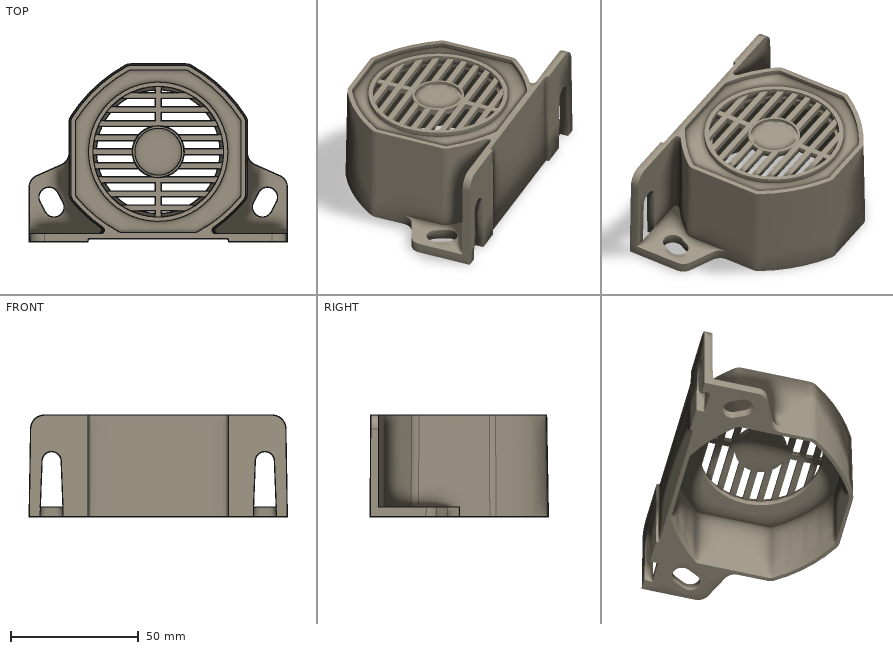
import cadquery as cq
import math

height = 40.0
total_width = 101.3
total_depth = 69.97
draft_angle = 1.0
draft_shift = height * math.tan(math.radians(draft_angle))

body_half_width = 35.0
body_rear_y = 34.5
body_front_y = -34.1
side_rear_y = 12.8
side_front_y = -18.1
rear_half_flat = 11.9
front_half_flat = 15.7
wall_arc_radius = 60.0
body_corner_radius = 4.5
wall = 1.5
rim_width = 1.8
rim_depth = 2.0
roof_bottom = 34.0

plate_front_y = body_rear_y - total_depth
plate_thickness = 3.35
plate_back_y = plate_front_y + plate_thickness
plate_top_half_width = 50.0
plate_corner_radius = 5.5
plate_fillet = 1.35
valley_x = 18.5
label_half_width = 27.5
label_depth = 1.2
label_fillet = 0.6
plate_lean = 0.25

plate_slot_x = 41.8
plate_slot_top = 25.6
plate_slot_radius = 3.7
plate_slot_bottom_half = 4.55

foot_thickness = 4.0
foot_half_width = total_width / 2
foot_edge_y = -10.7
foot_slope_angle = 24.0
foot_corner_radius = 5.0
foot_fillet_reach = foot_corner_radius * math.tan(math.radians(90 - foot_slope_angle) / 2)
foot_wall_strip = 1.01 * foot_fillet_reach
foot_slot_x = 41.85
foot_slot_y = -19.75
foot_slot_width = 7.8
foot_slot_spacing = 4.3
foot_slot_angle = 62.5

ring_outer_diameter = 54.6
grille_diameter = 51.2
opening_diameter = 48.4
lip_top = 36.6
bar_top = 39.0
bar_height = bar_top - lip_top
bar_edge_radius = 0.2
bar_width = 2.4
bar_pitch = 5.5
bar_count = 9
hub_top = 39.2
hub_diameter = 20.4
hub_recess_diameter = 18.4
hub_recess_depth = 1.4


def housing_wire(inset, z):
    """Closed housing outline, moved inwards by inset, on the plane at height z."""
    outline = (
        cq.Workplane("XY", origin=(0, 0, z))
        .moveTo(-rear_half_flat, body_rear_y)
        .lineTo(rear_half_flat, body_rear_y)
        .radiusArc((body_half_width, side_rear_y), wall_arc_radius)
        .lineTo(body_half_width, side_front_y)
        .radiusArc((front_half_flat, body_front_y), wall_arc_radius)
        .lineTo(-front_half_flat, body_front_y)
        .radiusArc((-body_half_width, side_front_y), wall_arc_radius)
        .lineTo(-body_half_width, side_rear_y)
        .radiusArc((-rear_half_flat, body_rear_y), wall_arc_radius)
        .close()
    )
    if inset:
        outline = outline.offset2D(-inset, "intersection")
    return outline


def round_uprights(block, radius):
    return block.edges("(not <Z) and (not >Z)").fillet(radius)


def make_housing():
    """Solid drafted block with its upright corners rounded."""
    block = housing_wire(0, 0).extrude(height, taper=draft_angle)
    return round_uprights(block, body_corner_radius)


def front_outline(back_y):
    """Prism of the tapered front outline, running from back_y to the plate's front."""
    return (
        cq.Workplane("XZ", origin=(0, back_y, 0))
        .polyline([
            (-foot_half_width, 0),
            (foot_half_width, 0),
            (plate_top_half_width, height),
            (-plate_top_half_width, height),
        ])
        .close()
        .extrude(back_y - plate_front_y)
    )


def make_plate():
    """Upright mounting plate; its front face leans back slightly towards the top."""
    slab = (
        cq.Workplane("YZ", origin=(-foot_half_width, 0, 0))
        .polyline([
            (plate_back_y, 0),
            (plate_front_y, 0),
            (plate_front_y + plate_lean, height),
            (plate_back_y, height),
        ])
        .close()
        .extrude(total_width)
    )
    outline = front_outline(plate_back_y).edges("|Y and >Z").fillet(plate_corner_radius)
    return slab.intersect(outline)


def label_pocket():
    """Full-height shallow pocket across the front of the plate, parallel to its leaning face."""
    floor_y = plate_front_y + label_depth
    return (
        cq.Workplane("YZ", origin=(-label_half_width, 0, 0))
        .polyline([
            (plate_front_y - label_depth, 0),
            (floor_y, 0),
            (floor_y + plate_lean, height),
            (plate_front_y - label_depth, height),
        ])
        .close()
        .extrude(2 * label_half_width)
        .faces(">Y")
        .edges("not |X")
        .fillet(label_fillet)
    )


def plate_slot(side):
    """Cutter for the tapered slot on one side (-1 or 1) of the plate."""
    shoulder_z = plate_slot_top - plate_slot_radius
    center_x = side * plate_slot_x
    return (
        cq.Workplane("XZ", origin=(center_x, plate_back_y, 0))
        .moveTo(-plate_slot_bottom_half, 0)
        .lineTo(-plate_slot_radius, shoulder_z)
        .threePointArc((0, plate_slot_top), (plate_slot_radius, shoulder_z))
        .lineTo(plate_slot_bottom_half, 0)
        .close()
        .extrude(plate_thickness)
    )


def make_foot(side):
    """Flat foot beside the housing on one side (-1 or 1), without its slot."""
    outer_x = side * foot_half_width
    wall_x = side * body_half_width
    wall_y = foot_edge_y + abs(outer_x - wall_x) * math.tan(math.radians(foot_slope_angle))
    foot = (
        cq.Workplane("XY")
        .moveTo(outer_x, plate_back_y)
        .lineTo(outer_x, foot_edge_y)
        .lineTo(wall_x, wall_y)
        .lineTo(wall_x, wall_y + foot_wall_strip)
        .lineTo(0, wall_y + foot_wall_strip)
        .lineTo(0, plate_back_y)
        .close()
        .extrude(foot_thickness)
    )
    for corner in ((outer_x, foot_edge_y, 0), (wall_x, wall_y, 0)):
        foot = foot.edges("|Z").edges(cq.selectors.NearestToPointSelector(corner)).fillet(foot_corner_radius)
    return foot.intersect(front_outline(body_rear_y))


def foot_slot(side):
    return (
        cq.Workplane("XY")
        .center(side * foot_slot_x, foot_slot_y)
        .transformed(rotate=(0, 0, side * foot_slot_angle))
        .slot2D(foot_slot_spacing + foot_slot_width, foot_slot_width)
        .extrude(foot_thickness)
    )


def make_shell():
    """Housing joined to its plate and feet, hollowed from below, with a sunken top face."""
    shell = make_housing().union(make_plate())
    for side in (-1, 1):
        valley = (side * valley_x, plate_back_y, height / 2)
        shell = shell.edges(cq.selectors.NearestToPointSelector(valley)).fillet(plate_fillet)
    for side in (-1, 1):
        shell = shell.union(make_foot(side))
    cavity = housing_wire(wall, 0).extrude(roof_bottom, taper=draft_angle)
    cavity = round_uprights(cavity, body_corner_radius - wall)
    sunken_face = housing_wire(draft_shift + rim_width, height).extrude(-rim_depth)
    sunken_face = round_uprights(sunken_face, body_corner_radius - rim_width)
    shell = shell.cut(cavity).cut(sunken_face).cut(label_pocket())
    for side in (-1, 1):
        shell = shell.cut(plate_slot(side)).cut(foot_slot(side))
    return shell


def disc(diameter, bottom, top):
    return cq.Workplane("XY", origin=(0, 0, bottom)).circle(diameter / 2).extrude(top - bottom)


def grille_bars():
    """Round-edged cross bars and centre rib trimmed to the grille, with a dished hub."""
    bar = (
        cq.Workplane("XY", origin=(0, 0, lip_top + bar_height / 2))
        .box(grille_diameter, bar_width, bar_height)
        .edges("|X and >Z")
        .fillet(bar_edge_radius)
    )
    bars = bar.rotate((0, 0, 0), (0, 0, 1), 90)
    for index in range(bar_count):
        bar_y = (index - (bar_count - 1) / 2) * bar_pitch
        bars = bars.union(bar.translate((0, bar_y, 0)))
    bars = bars.intersect(disc(grille_diameter, lip_top, bar_top))
    hub = disc(hub_diameter, lip_top, hub_top).edges(">Z").fillet(bar_edge_radius)
    return bars.union(hub).cut(disc(hub_recess_diameter, hub_top - hub_recess_depth, hub_top))


def add_grille(shell):
    shell = shell.union(disc(ring_outer_diameter, roof_bottom, height))
    shell = shell.cut(disc(grille_diameter, lip_top, height))
    shell = shell.cut(disc(opening_diameter, roof_bottom, lip_top))
    return shell.union(grille_bars())


result = add_grille(make_shell())